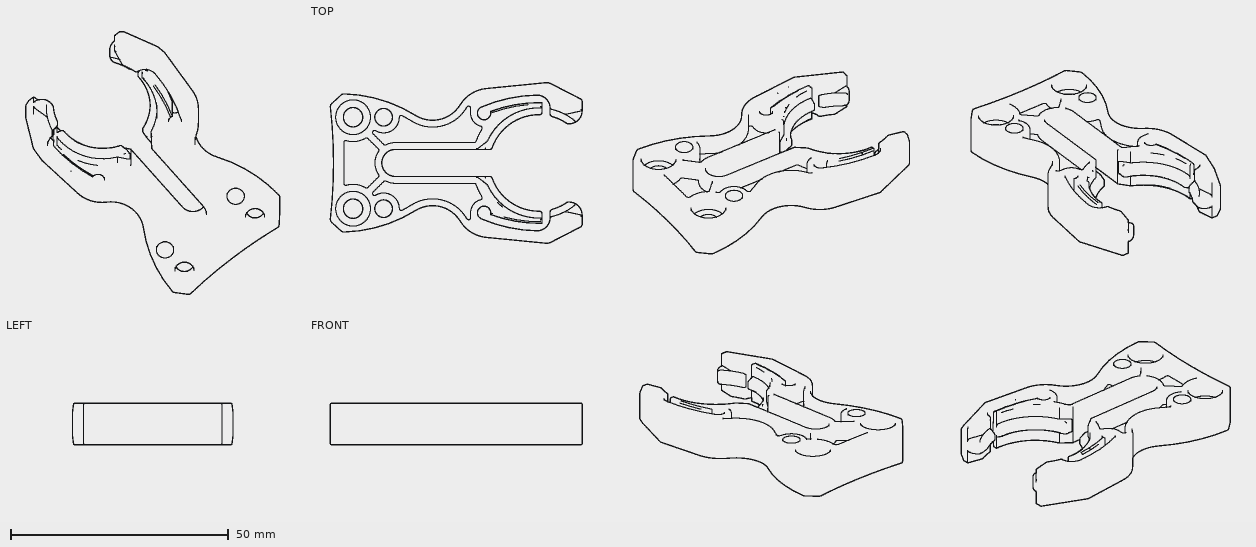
import cadquery as cq
import math

length = 57.87
thickness = 9.6
mid_z = thickness / 2
rim_round = 0.4
seat_wall = 2.4
wall = 1.6

back_bow = 0.72
back_corner = (-0.05, 13.3)
side_start = (2.8, 15.9)
rear_corner_round = 1.0

side_center = (2.29, -16.75)
side_radius = 32.65
neck_center = (23.5, 17.26)
shoulder_bearing = -31.55
shoulder_radius = 7.93
arm_angle = 5.6
peak_x = 50.1
peak_round = 2.2
tip_angle = 27.2
tip_round = 0.8

slot_half_width = 3.08
slot_center_x = 14.95
slot_mouth_x = 33.6
mouth_corner_y = 5.0

grip_center = (47.9, -0.3)
grip_radius = 11.35
seat_radius = 12.95
ridge_half_height = 1.8
crest_half_height = 0.85
crest_round = 0.6
finger_tip_x = 48.64
ridge_end_round = 0.6
finger_tip_round = 0.4

gap_center = (48.0, -18.0)
gap_outer_radius = 33.55
gap_inner_radius = 31.88
relief_radius = 1.5
relief_angle = 113.3
relief_far_turn = 150
hook_x = 50.45
hook_corner_radius = 2.95
hook_corner_round = 0.5

hook_heel_y = 12.0
hook_knee_x = 53.95
hook_knee_round = 1.0
lip_radius = 3.05
lip_point_round = 0.6
lip_corner_round = 0.7
bevel_start = (49.15, 17.25)
bevel_end = (57.1, 13.8)
bevel_slope = 1.6
bevel_reach = 4.0

hole_y = 10.5
screw_x = 5.25
screw_radius = 2.2
screw_head_radius = 4.0
recess_depth = 4.2
pin_x = 12.26
pin_radius = 2.0

back_wall = 2.4
rib_offset = 15.4
pocket_round = 0.45

touch = 0.01
point_match = 0.05
sharp_angle = 10


def polar(center, radius, degrees):
    angle = math.radians(degrees)
    return (center[0] + radius * math.cos(angle), center[1] + radius * math.sin(angle))


def bearing(center, point):
    return math.degrees(math.atan2(point[1] - center[1], point[0] - center[0]))


def arc_middle(center, start, end):
    """Point half way along the shorter arc from start to end."""
    turn = (bearing(center, end) - bearing(center, start) + 180) % 360 - 180
    return polar(center, math.dist(center, start), bearing(center, start) + turn / 2)


def arc_to(sketch, center, start, end):
    return sketch.threePointArc(arc_middle(center, start, end), end)


def above(center, radius, x):
    """Point on the upper half of a circle at the given x."""
    return (x, center[1] + math.sqrt(radius**2 - (x - center[0])**2))


def left_of(center, radius, y):
    """Point on the left half of a circle at the given y."""
    return (center[0] - math.sqrt(radius**2 - (y - center[1])**2), y)


def circles_crossing(center_a, radius_a, center_b, radius_b, side):
    """Crossing of two circles, to the left (+1) or right (-1) of the line a-b."""
    span = math.dist(center_a, center_b)
    cosine = (radius_a**2 + span**2 - radius_b**2) / (2 * radius_a * span)
    turn = math.degrees(math.acos(cosine))
    return polar(center_a, radius_a, bearing(center_a, center_b) + side * turn)


def cylinder(center, radius, bottom, top):
    return cq.Workplane("XY", origin=(*center, bottom)).circle(radius).extrude(top - bottom)


def block(x_start, y_start, x_end, y_end):
    """Full-height block over a rectangle."""
    size = (x_end - x_start, y_end - y_start, thickness)
    return cq.Workplane("XY", origin=(x_start, y_start, 0)).box(*size, centered=False)


def near(*points):
    """Edge filter that accepts upright edges standing at the given points."""
    def matches(edge):
        middle = edge.Center()
        return any(math.dist((middle.x, middle.y), p) < point_match for p in points)
    return matches


def round_upright(solid, points, radius):
    edges = solid.edges("|Z").filter(near(*points))
    return solid.newObject(edges.vals()).fillet(radius)


def is_sharp(solid, edge):
    """True where the two faces meeting at the edge turn a real corner."""
    middle = edge.Center()
    sides = [face for face in solid.faces().vals() if any(edge.isSame(e) for e in face.Edges())]
    angle = sides[0].normalAt(middle).getAngle(sides[1].normalAt(middle))
    return math.degrees(angle) > sharp_angle


neck_radius = math.dist(side_center, neck_center) - side_radius
shoulder_center = polar(neck_center, neck_radius + shoulder_radius, shoulder_bearing)
neck_start = polar(side_center, side_radius, bearing(side_center, neck_center))
neck_end = polar(shoulder_center, shoulder_radius, bearing(shoulder_center, neck_center))
arm_start = polar(shoulder_center, shoulder_radius, 90 + arm_angle)
peak = (peak_x, arm_start[1] + (peak_x - arm_start[0]) * math.tan(math.radians(arm_angle)))
tip = (length, peak[1] - (length - peak_x) * math.tan(math.radians(tip_angle)))
relief_center = polar(gap_center, gap_outer_radius - relief_radius, relief_angle)
side_entry = above(side_center, side_radius, side_start[0])


def back_edge_point(y):
    """The back edge is a shallow arc that bows inward."""
    return (back_bow * (1 - (y / back_corner[1])**2), y)


def outer_contour(sketch):
    """Rear, side and tip edges, from the centre line round to the tip."""
    sketch = sketch.threePointArc(back_edge_point(back_corner[1] / 2), back_corner)
    sketch = sketch.lineTo(*side_entry)
    sketch = arc_to(sketch, side_center, side_entry, neck_start)
    sketch = arc_to(sketch, neck_center, neck_start, neck_end)
    sketch = arc_to(sketch, shoulder_center, neck_end, arm_start)
    return sketch.lineTo(*peak).lineTo(*tip)


def make_half_plate():
    """One half of the full-height body, on the +Y side of the centre line."""
    knee = above(grip_center, seat_radius, hook_knee_x)
    hook_corner = above(grip_center, seat_radius, hook_x)
    arch_x = hook_x - hook_corner_radius
    arch_center = (arch_x, gap_center[1] + gap_outer_radius - hook_corner_radius)
    arch_end = (hook_x, arch_center[1])
    gap_top = above(gap_center, gap_outer_radius, arch_x)
    gap_end = polar(gap_center, gap_outer_radius, relief_angle)
    relief_far = polar(relief_center, relief_radius, relief_angle + relief_far_turn)
    gap_return = circles_crossing(gap_center, gap_inner_radius, relief_center, relief_radius, -1)
    finger_back = above(gap_center, gap_inner_radius, finger_tip_x)
    finger_front = above(grip_center, seat_radius, finger_tip_x)
    mouth_corner = left_of(grip_center, seat_radius, mouth_corner_y)
    slot_start = (slot_center_x, slot_half_width)
    slot_end = (slot_center_x - slot_half_width, 0)

    sketch = outer_contour(cq.Workplane("XY").moveTo(back_bow, 0))
    sketch = sketch.lineTo(length, hook_heel_y).lineTo(*knee)
    sketch = arc_to(sketch, grip_center, knee, hook_corner)
    sketch = sketch.lineTo(*arch_end)
    sketch = arc_to(sketch, arch_center, arch_end, gap_top)
    sketch = arc_to(sketch, gap_center, gap_top, gap_end)
    sketch = sketch.threePointArc(relief_far, gap_return)
    sketch = arc_to(sketch, gap_center, gap_return, finger_back)
    sketch = sketch.lineTo(*finger_front)
    sketch = arc_to(sketch, grip_center, finger_front, mouth_corner)
    sketch = sketch.lineTo(slot_mouth_x, slot_half_width).lineTo(*slot_start)
    sketch = arc_to(sketch, (slot_center_x, 0), slot_start, slot_end)
    plate = sketch.close().extrude(thickness)

    plate = round_upright(plate, [back_corner, side_entry], rear_corner_round)
    plate = round_upright(plate, [peak], peak_round)
    plate = round_upright(plate, [tip], tip_round)
    plate = round_upright(plate, [knee], hook_knee_round)
    plate = round_upright(plate, [hook_corner], hook_corner_round)
    return round_upright(plate, [finger_back], finger_tip_round)


def cut_tip_bevels(plate):
    """Slanted cuts over the tip edge, above and below."""
    run = math.dist(bevel_start, bevel_end)
    along = (bevel_end[0] - bevel_start[0], bevel_end[1] - bevel_start[1], 0)
    origin = (bevel_start[0] - along[0], bevel_start[1] - along[1], thickness)
    outward = (-along[1], along[0], 0)
    section = cq.Plane(origin=origin, xDir=outward, normal=along)
    wedge = (
        cq.Workplane(section)
        .polyline([(0, 0), (bevel_reach, -bevel_reach * bevel_slope), (bevel_reach, 0)])
        .close()
        .extrude(3 * run)
    )
    lower_wedge = wedge.mirror("XY", (0, 0, mid_z))
    return plate.cut(wedge).cut(lower_wedge)


def make_pockets():
    """Recesses in the top face that leave an even wall round everything."""
    fence = outer_contour(cq.Workplane("XY").moveTo(back_bow, 0))
    fence = fence.lineTo(length, -2 * wall).lineTo(back_bow, -2 * wall).close()
    pockets = fence.offset2D(-wall).extrude(thickness)
    pockets = pockets.intersect(block(back_bow + back_wall, 0, length, length))

    relief_x, relief_y = relief_center
    pockets = pockets.cut(block(relief_x + relief_radius, 0, length, length))
    pockets = pockets.cut(block(relief_x - relief_radius - wall, relief_y, length, length))
    pockets = pockets.cut(block(slot_center_x, 0, length, slot_half_width + wall))
    rounds = [
        ((slot_center_x, 0), slot_half_width + wall),
        ((screw_x, hole_y), screw_head_radius + wall),
        ((pin_x, hole_y), pin_radius + wall),
        (relief_center, relief_radius + wall),
        (grip_center, seat_radius + seat_wall),
    ]
    for center, radius in rounds:
        pockets = pockets.cut(cylinder(center, radius, 0, thickness))

    rib = cq.Workplane("XY").box(length, wall, 2 * thickness).rotate((0, 0, 0), (0, 0, 1), -45)
    pockets = pockets.cut(rib.translate((rib_offset / 2, rib_offset / 2, mid_z)))

    corners = [
        edge
        for edge in pockets.edges("|Z").vals()
        if edge.Center().y > pocket_round and is_sharp(pockets, edge)
    ]
    pockets = pockets.newObject(corners).fillet(pocket_round)
    return pockets.translate((0, 0, thickness - recess_depth))


def make_ridge_ring():
    """Ring round the grip centre whose inside tapers to a narrow crest."""
    outer_radius = 1.5 * grip_radius
    return (
        cq.Workplane("XZ", origin=(*grip_center, mid_z))
        .moveTo(grip_radius, -crest_half_height)
        .lineTo(grip_radius, crest_half_height)
        .lineTo(seat_radius, ridge_half_height)
        .lineTo(outer_radius, ridge_half_height)
        .lineTo(outer_radius, -ridge_half_height)
        .lineTo(seat_radius, -ridge_half_height)
        .close()
        .revolve(360, (0, 0, 0), (0, 1, 0))
    )


def off_mid_plane(edge):
    return abs(edge.Center().z - mid_z) > crest_half_height / 2


def make_finger_ridge():
    """Gripping ridge along the inside of the finger, from the slot to the finger tip."""
    ridge = make_ridge_ring().intersect(block(slot_mouth_x, slot_half_width, finger_tip_x, length))
    ridge = ridge.intersect(cylinder(grip_center, seat_radius + wall, 0, thickness))
    ridge = ridge.intersect(cylinder(gap_center, gap_inner_radius, 0, thickness))
    crest_tip = above(grip_center, grip_radius, finger_tip_x)
    crest_root = left_of(grip_center, grip_radius, slot_half_width)
    ridge = round_upright(ridge, [crest_tip, crest_root], ridge_end_round)

    def is_exposed(edge):
        middle = edge.Center()
        on_crest = math.dist((middle.x, middle.y), grip_center) < (grip_radius + seat_radius) / 2
        on_slot = middle.y < slot_half_width + touch
        return off_mid_plane(edge) and (on_crest or on_slot)

    return ridge.newObject(ridge.edges().filter(is_exposed).vals()).fillet(crest_round)


def make_hook_lip():
    """Gripping lip under the hook, with a rounded front."""
    lip_center = (length - lip_radius, hook_heel_y)
    root_y = hook_heel_y + lip_point_round
    corner = above(grip_center, grip_radius, hook_x)
    point = circles_crossing(grip_center, grip_radius, lip_center, lip_radius, -1)
    heel = (length, hook_heel_y)
    outline = cq.Workplane("XY").moveTo(hook_x, root_y).lineTo(*corner)
    outline = arc_to(outline, grip_center, corner, point)
    outline = arc_to(outline, lip_center, point, heel)
    outline = outline.lineTo(length, root_y).close()
    lip = outline.extrude(thickness).intersect(make_ridge_ring())
    lip = round_upright(lip, [corner], lip_corner_round)
    lip = round_upright(lip, [point], lip_point_round)

    def is_exposed(edge):
        middle = edge.Center()
        on_crest = math.dist((middle.x, middle.y), grip_center) < seat_radius - crest_round
        on_front = middle.x > lip_center[0] and middle.y < hook_heel_y
        return off_mid_plane(edge) and edge.geomType() != "LINE" and (on_crest or on_front)

    return lip.newObject(lip.edges().filter(is_exposed).vals()).fillet(crest_round)


def round_rims(plate):
    """Round the borders of the top, bottom and tip bevels, except along the centre line."""
    def is_bevel(face):
        return face.geomType() == "PLANE" and 0.1 < abs(face.normalAt().z) < 0.9

    flats = plate.faces("<Z or >Z").vals()
    bevels = plate.faces().filter(is_bevel).vals()
    rims = []
    for edge in [e for face in flats + bevels for e in face.Edges()]:
        on_center_line = edge.Center().y < 0.001
        if not on_center_line and not any(edge.isSame(known) for known in rims):
            rims.append(edge)
    return plate.newObject(rims).fillet(rim_round)


half = cut_tip_bevels(make_half_plate())
half = half.cut(make_pockets())
half = half.cut(cylinder((screw_x, hole_y), screw_radius, 0, thickness))
half = half.cut(cylinder((screw_x, hole_y), screw_head_radius, thickness - recess_depth, thickness))
half = round_rims(half)
half = half.cut(cylinder((pin_x, hole_y), pin_radius, 0, thickness))
half = half.union(make_finger_ridge()).union(make_hook_lip())
result = half.union(half.mirror("XZ"))